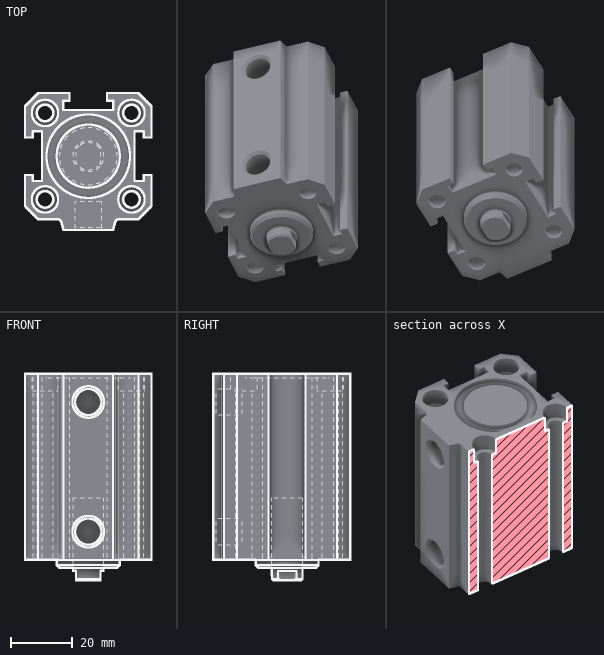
import cadquery as cq
import math

overall_height = 67.0
body_width = 41.0
half_width = body_width / 2
corner_chamfer = 4.3
collar_height = 2.55
rod_projection = 4.1
body_height = overall_height - collar_height - rod_projection

rib_front = 44.5 - half_width
rib_tip_half_width = 8.05
rib_draft = 15.0
rib_root_fillet = 1.0

slot_mouth_width = 12.05
slot_inner_width = 16.1
slot_lip = 2.55
slot_depth = 5.5

mount_offset = 14.0
mount_diameter = 5.3
counterbore_diameter = 8.6
counterbore_depth = 5.7

port_diameter = 8.5
port_mouth_diameter = 10.25
port_chamfer = (port_mouth_diameter - port_diameter) / 2
port_depth = 9.4
port_end_distance = 9.2

boss_diameter = 20.5
recess_diameter = 27.1
recess_depth = 1.5
collar_chamfer = 0.95

rod_diameter = 10.0
rod_insertion = 20.1
rod_chamfer = 0.55
flats_width = 8.0
flats_gap = 1.0
rod_tip = -collar_height - rod_projection


def make_profile_body():
    """Square extrusion with chamfered corners and a drafted rib along the -Y face."""
    block = (
        cq.Workplane("XY")
        .rect(body_width, body_width)
        .extrude(body_height)
        .edges("|Z")
        .chamfer(corner_chamfer)
    )
    rib_height = rib_front - half_width
    root_half_width = rib_tip_half_width + rib_height * math.tan(math.radians(rib_draft))
    rib = (
        cq.Workplane("XY")
        .moveTo(-root_half_width, 0)
        .lineTo(-root_half_width, -half_width)
        .lineTo(-rib_tip_half_width, -rib_front)
        .lineTo(rib_tip_half_width, -rib_front)
        .lineTo(root_half_width, -half_width)
        .lineTo(root_half_width, 0)
        .close()
        .extrude(body_height)
    )
    body = block.union(rib)
    for side in (-1, 1):
        root = cq.NearestToPointSelector((side * root_half_width, -half_width, body_height / 2))
        body = body.edges("|Z").edges(root).fillet(rib_root_fillet)
    return body


def make_slot(angle):
    """T-slot cutter for the +Y face, turned about Z to the wanted face."""
    mouth = cq.Workplane("XY").box(
        slot_mouth_width, slot_depth, body_height, centered=(True, False, False)
    )
    inner = cq.Workplane("XY").box(
        slot_inner_width, slot_depth - slot_lip, body_height, centered=(True, False, False)
    )
    slot = mouth.union(inner).translate((0, half_width - slot_depth, 0))
    return slot.rotate((0, 0, 0), (0, 0, 1), angle)


def cut_mounting_holes(body):
    """Four through holes, counterbored from the top."""
    return (
        body.faces(">Z")
        .workplane(origin=(0, 0, body_height))
        .rect(2 * mount_offset, 2 * mount_offset, forConstruction=True)
        .vertices()
        .cboreHole(mount_diameter, counterbore_diameter, counterbore_depth)
    )


def make_port(height):
    """Blind port cutter with a chamfered mouth on the rib face."""
    profile = (
        cq.Workplane("XY")
        .moveTo(0, -rib_front)
        .lineTo(port_mouth_diameter / 2, -rib_front)
        .lineTo(port_diameter / 2, -rib_front + port_chamfer)
        .lineTo(port_diameter / 2, -rib_front + port_depth)
        .lineTo(0, -rib_front + port_depth)
        .close()
    )
    return profile.revolve(360, (0, 0, 0), (0, 1, 0)).translate((0, 0, height))


def make_collar():
    """Centring collar below the housing, chamfered at its lower edge."""
    return (
        cq.Workplane("XY")
        .circle(boss_diameter / 2)
        .extrude(-collar_height)
        .faces("<Z")
        .edges()
        .chamfer(collar_chamfer)
    )


def make_top_recess():
    """Ring cutter that leaves the centring disc standing flush with the top face."""
    return (
        cq.Workplane("XY", origin=(0, 0, body_height - recess_depth))
        .circle(recess_diameter / 2)
        .circle(boss_diameter / 2)
        .extrude(recess_depth)
    )


def make_rod_hole():
    """Blind hole that takes the rod through the collar."""
    return (
        cq.Workplane("XY", origin=(0, 0, -collar_height))
        .circle(rod_diameter / 2)
        .extrude(collar_height + rod_insertion)
    )


def make_housing():
    """Cylinder housing with slots, mounting holes, ports and centring bosses."""
    housing = cut_mounting_holes(make_profile_body())
    for angle in (0, 90, -90):
        housing = housing.cut(make_slot(angle))
    for height in (port_end_distance, body_height - port_end_distance):
        housing = housing.cut(make_port(height))
    housing = housing.cut(make_top_recess())
    return housing.union(make_collar()).cut(make_rod_hole())


def make_rod():
    """Round rod with a chamfered tip and two wrench flats facing -X and +X."""
    rod = (
        cq.Workplane("XY", origin=(0, 0, rod_tip))
        .circle(rod_diameter / 2)
        .extrude(rod_insertion - rod_tip)
        .faces("<Z")
        .edges()
        .chamfer(rod_chamfer)
    )
    flats_height = rod_projection - flats_gap
    for side in (-1, 1):
        flat = cq.Workplane("XY").box(
            rod_diameter, rod_diameter, flats_height, centered=(True, True, False)
        )
        rod = rod.cut(flat.translate((side * (flats_width + rod_diameter) / 2, 0, rod_tip)))
    return rod


housing = make_housing()
rod = make_rod()

result = cq.Compound.makeCompound([housing.val(), rod.val()])